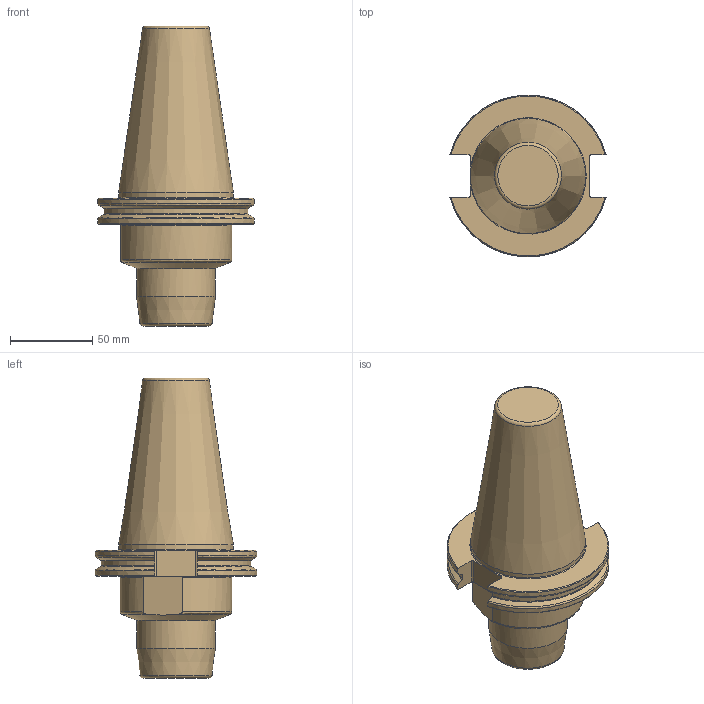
import cadquery as cq
import math

gauge_radius = 69.85 / 2
taper_length = 101.6
total_length = 182.6
nose_z = taper_length - total_length
taper_ratio = 7 / 24
taper_top_radius = gauge_radius - taper_length * taper_ratio / 2
taper_top_fillet = 2.0

flange_radius = 98.43 / 2
flange_top_z = -3.2
flange_thickness = 15.9
flange_bottom_z = flange_top_z - flange_thickness
flange_edge_chamfer = 0.5
groove_floor_radius = 45.6
groove_floor_width = 3.6
groove_mid_z = flange_top_z - flange_thickness / 2
groove_wall_angle = 30
groove_lip_fillet = 1.2

step_fillet = 0.5

slot_width = 25.9
slot_corner_fillet = 0.9
deep_slot_floor = 35.0
shallow_slot_floor = 37.7

body_radius = 34.0
body_shoulder_z = -41.8
body_shoulder_fillet = 1.5
flat_distance = 31.7
flat_angle = 15

nose_radius = 48.0 / 2
nose_top_z = -45.8
nose_taper_z = -63.0
nose_tip_radius = 21.75
nose_tip_fillet = 2.0


def make_turned_part():
    """Solid of revolution containing everything but the slots and the flat."""
    half_floor = groove_floor_width / 2
    groove_depth = flange_radius - groove_floor_radius
    half_mouth = half_floor + groove_depth * math.tan(math.radians(groove_wall_angle))
    profile = [
        (0, nose_z),
        (nose_tip_radius, nose_z),
        (nose_radius, nose_taper_z),
        (nose_radius, nose_top_z),
        (body_radius, body_shoulder_z),
        (body_radius, flange_bottom_z),
        (flange_radius, flange_bottom_z),
        (flange_radius, groove_mid_z - half_mouth),
        (groove_floor_radius, groove_mid_z - half_floor),
        (groove_floor_radius, groove_mid_z + half_floor),
        (flange_radius, groove_mid_z + half_mouth),
        (flange_radius, flange_top_z),
        (gauge_radius, flange_top_z),
        (gauge_radius, 0),
        (taper_top_radius, taper_length),
        (0, taper_length),
    ]
    turned = cq.Workplane("XZ").polyline(profile).close().revolve(360, (0, 0), (0, 1))

    def edge_at(radius, z):
        """Circular edge of the turned part with the given radius and height."""
        tol = 0.05
        ring_box = cq.selectors.BoxSelector(
            (-radius - tol, -radius - tol, z - tol),
            (radius + tol, radius + tol, z + tol),
            boundingbox=True,
        )
        rings = turned.edges(ring_box)
        return rings.filter(lambda edge: abs(edge.BoundingBox().ymax - radius) < tol)

    turned = edge_at(nose_tip_radius, nose_z).fillet(nose_tip_fillet)
    turned = edge_at(body_radius, body_shoulder_z).fillet(body_shoulder_fillet)
    turned = edge_at(taper_top_radius, taper_length).fillet(taper_top_fillet)
    inside_corners = [
        (nose_radius, nose_top_z),
        (body_radius, flange_bottom_z),
        (gauge_radius, flange_top_z),
    ]
    for radius, z in inside_corners:
        turned = edge_at(radius, z).fillet(step_fillet)
    for side in (-1, 1):
        turned = edge_at(groove_floor_radius, groove_mid_z + side * half_floor).fillet(step_fillet)
        turned = edge_at(flange_radius, groove_mid_z + side * half_mouth).fillet(groove_lip_fillet)
    for z in (flange_bottom_z, flange_top_z):
        turned = edge_at(flange_radius, z).chamfer(flange_edge_chamfer)
    return turned


def make_drive_slot(side, floor_distance):
    """Cutter for one drive slot through the flange and the fillet above it, on the -X or +X side."""
    center_x = side * (floor_distance + flange_radius / 2)
    cutter = cq.Workplane("XY", origin=(center_x, 0, flange_bottom_z))
    cutter = cutter.rect(flange_radius, slot_width).extrude(flange_thickness + step_fillet)
    inner_edges = "|Z and >X" if side < 0 else "|Z and <X"
    return cutter.edges(inner_edges).fillet(slot_corner_fillet)


def make_flat_cutter():
    """Cutter for the flat on the body, turned from -X toward +Y."""
    height = flange_bottom_z - nose_z
    cutter = cq.Workplane("XY", origin=(0, 0, nose_z))
    cutter = cutter.center(-flat_distance - body_radius / 2, 0)
    cutter = cutter.rect(body_radius, 2 * body_radius).extrude(height)
    return cutter.rotate((0, 0, 0), (0, 0, 1), -flat_angle)


result = (
    make_turned_part()
    .cut(make_drive_slot(-1, deep_slot_floor))
    .cut(make_drive_slot(1, shallow_slot_floor))
    .cut(make_flat_cutter())
)